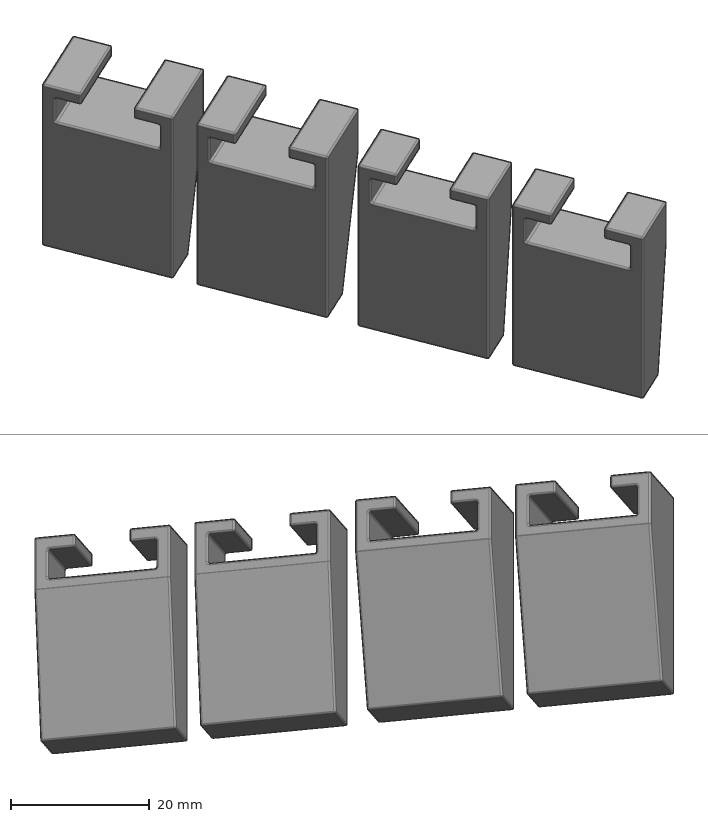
import cadquery as cq

clip_width = 20.3
clip_height = 30.0
deep_clip_depth = 12.0
shallow_clip_depth = 9.05

foot_depth = 6.0
shoulder_drop = 7.9

wall_thickness = 2.05
lip_thickness = 2.0
channel_depth = 6.4
mouth_width = 8.2

edge_radius = 0.3

row_length = 93.3
second_clip_left = 24.0
third_clip_left = 49.0
fourth_clip_left = row_length - clip_width
clip_row = [
    (0.0, deep_clip_depth),
    (second_clip_left, deep_clip_depth),
    (third_clip_left, shallow_clip_depth),
    (fourth_clip_left, shallow_clip_depth),
]


def make_tapered_block(depth):
    """Block with its flat front at Y = 0 and its back sloping in to the foot."""
    side_outline = [
        (0, 0),
        (foot_depth, 0),
        (depth, clip_height - shoulder_drop),
        (depth, clip_height),
        (0, clip_height),
    ]
    return cq.Workplane("YZ").polyline(side_outline).close().extrude(clip_width)


def make_channel(depth):
    """Wide cavity and the narrower mouth above it."""
    cavity_width = clip_width - 2 * wall_thickness
    cavity_height = channel_depth - lip_thickness
    cavity = (
        cq.Workplane("XY")
        .box(cavity_width, depth, cavity_height, centered=(True, False, False))
        .translate((clip_width / 2, 0, clip_height - channel_depth))
    )
    mouth = (
        cq.Workplane("XY")
        .box(mouth_width, depth, lip_thickness, centered=(True, False, False))
        .translate((clip_width / 2, 0, clip_height - lip_thickness))
    )
    return cavity.union(mouth)


def make_clip(depth):
    """Clip with its channel cut and every edge lightly rounded, inner corners included."""
    clip = make_tapered_block(depth).cut(make_channel(depth))
    return clip.edges().fillet(edge_radius)


clips = [make_clip(depth).translate((left, 0, 0)) for left, depth in clip_row]

result = cq.Compound.makeCompound([clip.val() for clip in clips])